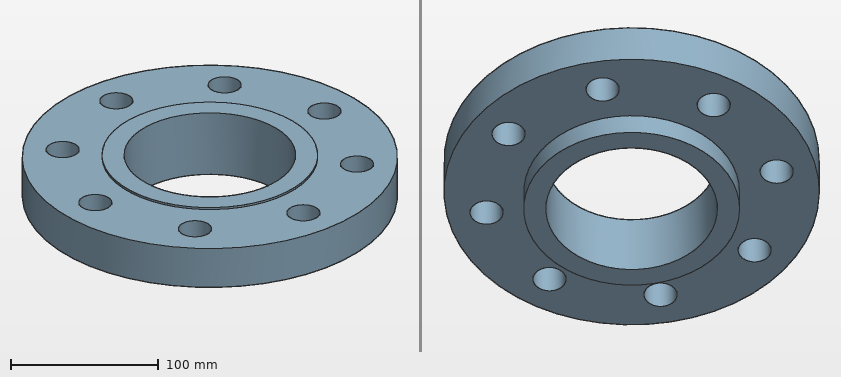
import cadquery as cq

flange_diameter = 254.0
total_height = 47.8

hub_diameter = 146.0
bore_diameter = 116.0
hub_height = 16.0
raised_face_height = 1.5
flange_thickness = total_height - hub_height - raised_face_height

bolt_count = 8
bolt_circle_diameter = 200.2
bolt_hole_diameter = 22.4
bolt_pitch_angle = 360 / bolt_count


def make_body():
    """Flange disc around a hub that stands proud on both faces; base at Z = 0."""
    hub = cq.Workplane("XY").circle(hub_diameter / 2).extrude(total_height)
    disc = (
        cq.Workplane("XY", origin=(0, 0, hub_height))
        .circle(flange_diameter / 2)
        .extrude(flange_thickness)
    )
    return hub.union(disc)


def make_bore():
    return cq.Workplane("XY").circle(bore_diameter / 2).extrude(total_height)


def make_bolt_holes():
    return (
        cq.Workplane("XY")
        .polarArray(bolt_circle_diameter / 2, bolt_pitch_angle / 2, 360, bolt_count)
        .circle(bolt_hole_diameter / 2)
        .extrude(total_height)
    )


result = make_body().cut(make_bore()).cut(make_bolt_holes())